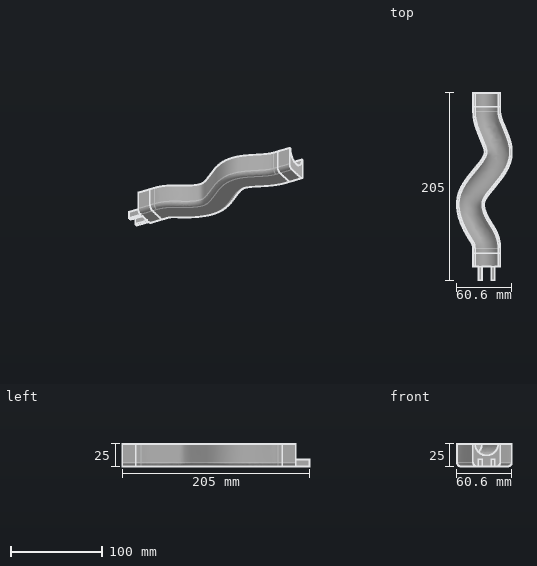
import cadquery as cq

width = 30.0
height = 25.0
bore_radius = 12.7
bottom_fillet = 5.0

pin_length = 15.0
end_length = 15.0
lead_length = 5.1
total_length = 205.0

pin_width = 3.9
pin_height = 8.0
pin_spacing = 14.0

bend_points = [(-7.5, 55.0), (-17.5, 87.0), (-5.0, 108.9), (12.7, 138.4)]

front_face_y = pin_length
track_start_y = front_face_y + end_length
track_end_y = total_length - end_length
bend_start_y = track_start_y + lead_length
bend_end_y = track_end_y - lead_length


def channel_section(y):
    """Round-bottomed trough with rounded lower corners, facing along Y at the given place."""
    half_width = width / 2
    corner_shift = bottom_fillet * (1 - 0.5**0.5)
    return (
        cq.Workplane("XZ", origin=(0, y, 0))
        .moveTo(-half_width, height)
        .lineTo(-half_width, bottom_fillet)
        .threePointArc((-half_width + corner_shift, corner_shift), (-half_width + bottom_fillet, 0))
        .lineTo(half_width - bottom_fillet, 0)
        .threePointArc((half_width - corner_shift, corner_shift), (half_width, bottom_fillet))
        .lineTo(half_width, height)
        .lineTo(bore_radius, height)
        .threePointArc((0, height - bore_radius), (-bore_radius, height))
        .close()
    )


def straight_channel(start_y, length):
    """Straight trough running from start_y towards +Y."""
    return channel_section(start_y).extrude(-length)


def make_front_end():
    """End piece that carries the two pins."""
    end = straight_channel(front_face_y, end_length)
    for x in (-pin_spacing / 2, pin_spacing / 2):
        pin = (
            cq.Workplane("XY")
            .box(pin_width, pin_length, pin_height, centered=(True, False, False))
            .translate((x, 0, 0))
        )
        end = end.union(pin)
    return end


def make_track():
    """Winding trough with a short straight lead at both ends."""
    centre_line = (
        cq.Workplane("XY")
        .moveTo(0, track_start_y)
        .lineTo(0, bend_start_y)
        .spline([*bend_points, (0, bend_end_y)], tangents=[(0, 1), (0, 1)], includeCurrent=True)
        .lineTo(0, track_end_y)
    )
    return channel_section(track_start_y).sweep(centre_line)


def make_back_end():
    """Plain end piece at the far end of the track."""
    return straight_channel(track_end_y, end_length)


front_end = make_front_end()
track = make_track()
back_end = make_back_end()

result = cq.Compound.makeCompound([front_end.val(), track.val(), back_end.val()])